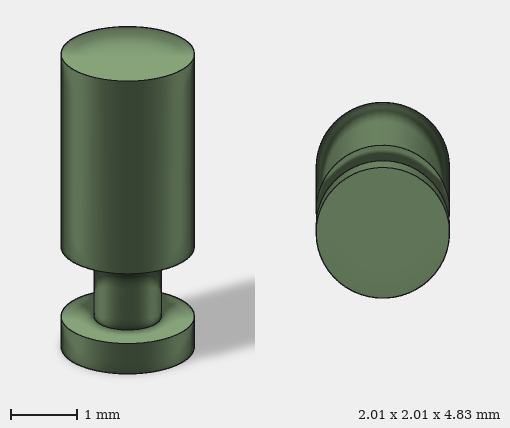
import cadquery as cq

total_height = 4.83
outer_diameter = 2.01
neck_diameter = 1.015
flange_height = 0.5
neck_height = 1.15
head_height = total_height - flange_height - neck_height


def cylinder(diameter, height, base_z):
    """Upright cylinder on the Z axis, starting at base_z."""
    return cq.Workplane("XY").workplane(offset=base_z).circle(diameter / 2).extrude(height)


flange = cylinder(outer_diameter, flange_height, 0)
neck = cylinder(neck_diameter, neck_height, flange_height)
head = cylinder(outer_diameter, head_height, flange_height + neck_height)

result = flange.union(neck).union(head)